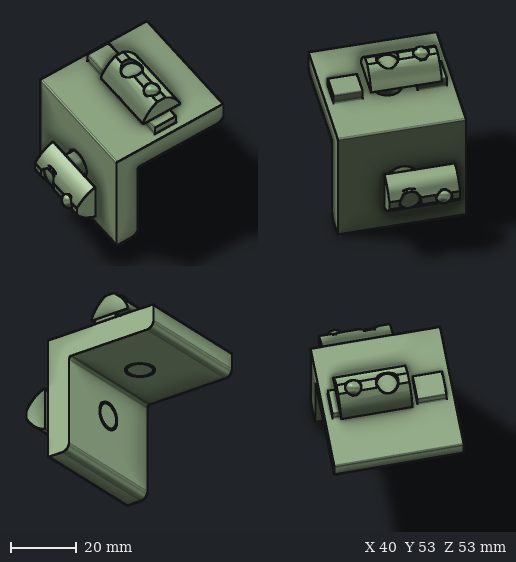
import cadquery as cq

BRACKET_SIDE = 40.0
LEG_THICKNESS = 8.0
LEG_END_RADIUS = 2.5
INNER_CORNER_RADIUS = 1.0
OUTER_EDGE_RADIUS = 0.5
SCREW_HOLE_DIAMETER = 9.0

KEY_LENGTH = 9.05
KEY_WIDTH = 7.85
KEY_HEIGHT = 3.0
KEY_CENTER_X = 13.1
KEY_TOP_RADIUS = 0.25
KEY_ROOT_RADIUS = 0.2

NUT_GAP = 4.5
NUT_LENGTH = 22.0
NUT_SCREW_OFFSET = 6.6
NUT_HEIGHT = 7.0
NUT_BASE_WIDTH = 14.1
NUT_FLAT_WIDTH = 3.0
NUT_FLANK_RADIUS = 12.75
NUT_BASE_EDGE_RADIUS = 0.35
NUT_BORE_DIAMETER = 6.8
BALL_RADIUS = 2.5
BALL_HEIGHT = 1.55
BALL_X = 10.5

SCREW_DIAMETER = 8.0
TOP_SCREW_TIP_DEPTH = 1.85
FRONT_SCREW_TIP_DEPTH = 1.15
SCREW_TIP_CHAMFER = 0.75

LEG_MIDDLE = BRACKET_SIDE / 2


def on_top_leg(body):
    """Move a fastener modelled along +Z onto the top face of the bracket."""
    return body.translate((0, LEG_MIDDLE, 0))


def on_front_leg(body):
    """Turn a fastener modelled along +Z to point along -Y on the front face."""
    return body.rotate((0, 0, 0), (1, 0, 0), 90).translate((0, 0, -LEG_MIDDLE))


def make_angle():
    """L-shaped section, extruded along X with its edges rounded."""
    section = (
        cq.Workplane("YZ")
        .polyline([
            (0, 0),
            (BRACKET_SIDE, 0),
            (BRACKET_SIDE, -LEG_THICKNESS),
            (LEG_THICKNESS, -LEG_THICKNESS),
            (LEG_THICKNESS, -BRACKET_SIDE),
            (0, -BRACKET_SIDE),
        ])
        .close()
    )
    angle = section.extrude(BRACKET_SIDE / 2, both=True)

    def round_edge(body, y, z, radius):
        edge = cq.selectors.NearestToPointSelector((0, y, z))
        return body.edges("|X").edges(edge).fillet(radius)

    for y, z in [(0, 0), (BRACKET_SIDE, 0), (0, -BRACKET_SIDE)]:
        angle = round_edge(angle, y, z, OUTER_EDGE_RADIUS)
    for y, z in [(BRACKET_SIDE, -LEG_THICKNESS), (LEG_THICKNESS, -BRACKET_SIDE)]:
        angle = round_edge(angle, y, z, LEG_END_RADIUS)
    return round_edge(angle, LEG_THICKNESS, -LEG_THICKNESS, INNER_CORNER_RADIUS)


def make_key(center_x):
    """Block with rounded top edges and small root fillets along its long sides."""
    half_width = KEY_WIDTH / 2
    root_half_width = half_width + KEY_ROOT_RADIUS
    top_half_width = half_width - KEY_TOP_RADIUS
    shoulder = KEY_HEIGHT - KEY_TOP_RADIUS
    section = (
        cq.Workplane("YZ")
        .moveTo(-root_half_width, 0)
        .radiusArc((-half_width, KEY_ROOT_RADIUS), -KEY_ROOT_RADIUS)
        .lineTo(-half_width, shoulder)
        .radiusArc((-top_half_width, KEY_HEIGHT), KEY_TOP_RADIUS)
        .lineTo(top_half_width, KEY_HEIGHT)
        .radiusArc((half_width, shoulder), KEY_TOP_RADIUS)
        .lineTo(half_width, KEY_ROOT_RADIUS)
        .radiusArc((root_half_width, 0), -KEY_ROOT_RADIUS)
        .close()
    )
    key = section.extrude(KEY_LENGTH / 2, both=True)
    return key.translate((center_x, LEG_MIDDLE, 0))


def make_bracket():
    bracket = make_angle()
    for center_x in (-KEY_CENTER_X, KEY_CENTER_X):
        bracket = bracket.union(make_key(center_x))
    hole = cq.Workplane("XY").circle(SCREW_HOLE_DIAMETER / 2).extrude(-LEG_THICKNESS)
    return bracket.cut(on_top_leg(hole)).cut(on_front_leg(hole))


def make_screw(tip_depth):
    """Plain shank from the leg's inner face into the nut, chamfered at the tip."""
    tip = NUT_GAP + NUT_HEIGHT - tip_depth
    shank = (
        cq.Workplane("XY")
        .workplane(offset=-LEG_THICKNESS)
        .circle(SCREW_DIAMETER / 2)
        .extrude(LEG_THICKNESS + tip)
    )
    return shank.faces(">Z").chamfer(SCREW_TIP_CHAMFER)


def make_nut(screw):
    """Arched slot nut with a spring ball, bored to fit the given screw."""
    top = NUT_GAP + NUT_HEIGHT
    half_base = NUT_BASE_WIDTH / 2
    half_flat = NUT_FLAT_WIDTH / 2
    nut = (
        cq.Workplane("YZ")
        .workplane(offset=-NUT_SCREW_OFFSET)
        .moveTo(-half_base, NUT_GAP)
        .radiusArc((-half_flat, top), NUT_FLANK_RADIUS)
        .lineTo(half_flat, top)
        .radiusArc((half_base, NUT_GAP), NUT_FLANK_RADIUS)
        .close()
        .extrude(NUT_LENGTH)
    )
    nut = nut.faces("<Z").edges("|X").fillet(NUT_BASE_EDGE_RADIUS)

    ball_center = cq.Vector(BALL_X, 0, top + BALL_HEIGHT - BALL_RADIUS)
    socket = cq.Workplane("XY").circle(BALL_RADIUS).extrude(BALL_HEIGHT)
    ball = cq.Workplane("XY").sphere(BALL_RADIUS)
    nut = nut.cut(socket.translate(ball_center)).union(ball.translate(ball_center))

    bore = cq.Workplane("XY").circle(NUT_BORE_DIAMETER / 2).extrude(top)
    return nut.cut(bore).cut(screw)


bracket = make_bracket()

screws = []
nuts = []
for tip_depth, place_on_leg in [
    (TOP_SCREW_TIP_DEPTH, on_top_leg),
    (FRONT_SCREW_TIP_DEPTH, on_front_leg),
]:
    screw = make_screw(tip_depth)
    nut = make_nut(screw)
    screws.append(place_on_leg(screw).solids().val())
    nuts.append(place_on_leg(nut).solids().val())

result = cq.Compound.makeCompound([bracket.solids().val(), *screws, *nuts])